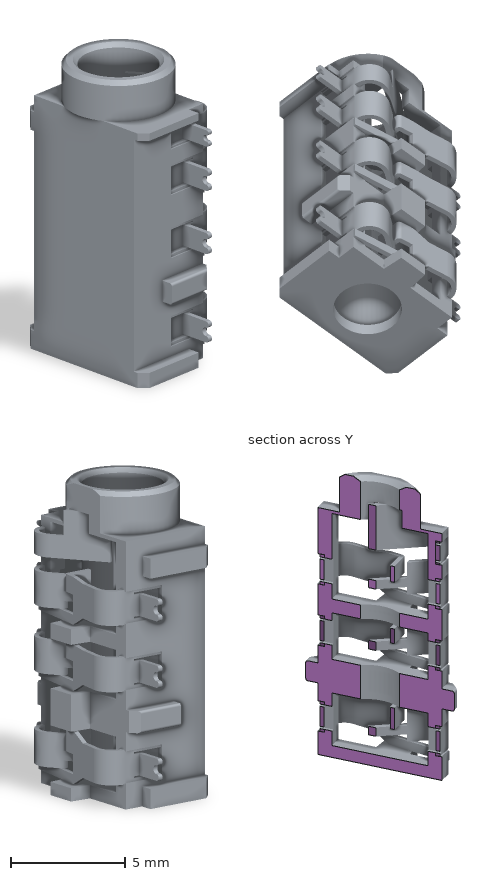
import cadquery as cq
import math

BODY_HALF_X = 3.0
BODY_HALF_Y = 2.2
BODY_HEIGHT = 12.1
TOTAL_HEIGHT = 14.0
COLLAR_RADIUS = 2.5
COLLAR_CHAMFER = 0.2
BORE_RADIUS = 1.8
EXIT_RADIUS = 1.5
BORE_FLOOR_Z = 0.6

FLANGE_REACH = 0.6
FLANGE_HALF_X = BODY_HALF_X + FLANGE_REACH
FLANGE_CHAMFER = 0.38
FLANGE_BACK_Y = 1.3
LEFT_FLANGES = [(0.0, 0.9), (10.4, 11.3)]
RIGHT_FLANGES = [(0.0, 0.72), (11.75, BODY_HEIGHT)]
RIB_FRONT_Y = -0.4
RIB_BOTTOM_Z = 3.5
RIB_TOP_Z = 4.5
RIB_FILLET = 0.12

POST_Z_RANGES = [(0.0, BORE_FLOOR_Z), (3.15, 4.82), (7.07, 7.77)]
POST_REACH_Y = 3.2
POST_BASE_X = (-0.48, 1.14)
POST_TIP_X = (-0.4, 1.05)
COLLAR_SLOT_TOP_Z = 12.8
CAVITY_HALF_X = 2.3
CAVITY_TOP_Z = 11.93

SHEET = 0.22
PLATE_OUTER_X = 2.92
PLATE_INNER_X = PLATE_OUTER_X - SHEET
PLATE_BOTTOM_Y = 0.17
ROW_Z = [1.9, 6.1, 9.1]
TOP_ROW_Z = 11.1
PLATE_WIDTH = 1.45
TOP_PLATE_WIDTH = 1.1
TAB_WIDTH = 1.0
TOP_TAB_WIDTH = 0.77
TAB_GAP = 0.09
TAB_END_X = 4.3
TAB_BACK_Y = 1.4
TAB_FRONT_Y = TAB_BACK_Y - SHEET
RELIEF_BACK_Y = 1.67
NOTCH_INSET = 0.16
NOTCH_CENTER_X = TAB_END_X - NOTCH_INSET
NOTCH_WIDTH_RATIO = 0.4
PRONG_FILLET_RATIO = 0.14

ARM_WIDTH = 1.56
TOP_ARM_WIDTH = 1.02
ARCH_RADIUS = 0.9
ARCH_CENTER_X = PLATE_OUTER_X - ARCH_RADIUS
LONG_ARM_ANGLE = 9.0
DIVING_ARM_ANGLE = 34.0
FLARE_START_X = -0.9
FLARE_END_X = -0.05
FLARE_BELOW = 1.25
FLARE_ABOVE = [1.17, 0.84, 0.9]
LEG_OUTER_X = 0.71
LEG_INNER_X = LEG_OUTER_X - SHEET
LEG_TIP_Y = 1.37
LEG_BEND_FILLET = 0.2
LEG_ABOVE_ROW = 0.1
BAND_WIDTH = 0.45
BAND_END_X = BODY_HALF_X
DIVING_ARM_TIP_X = -0.845
DIVING_ARM_STEP_X = 0.95
FINGER_BELOW = 0.42
FINGER_ABOVE = 0.02
TOP_FLARE_Z = 12.78


def block(x_range, y_range, z_range):
    """Box between two limits on each axis."""
    sizes = [high - low for low, high in (x_range, y_range, z_range)]
    corner = (x_range[0], y_range[0], z_range[0])
    return cq.Workplane("XY").box(*sizes, centered=False).translate(corner)


def centered_range(center, width):
    return (center - width / 2, center + width / 2)


def mirrored(shape):
    """Copy a left-hand shape to the right-hand side."""
    return shape.mirror("YZ")


def collar():
    round_part = (
        cq.Workplane("XY")
        .workplane(offset=BODY_HEIGHT)
        .circle(COLLAR_RADIUS)
        .extrude(TOTAL_HEIGHT - BODY_HEIGHT)
        .faces(">Z")
        .chamfer(COLLAR_CHAMFER)
    )
    span = (-COLLAR_RADIUS, COLLAR_RADIUS)
    return round_part.intersect(block(span, (-COLLAR_RADIUS, BODY_HALF_Y), (0, TOTAL_HEIGHT)))


def bore():
    stepped = (
        cq.Workplane("XY")
        .workplane(offset=BORE_FLOOR_Z)
        .circle(BORE_RADIUS)
        .extrude(TOTAL_HEIGHT - BORE_FLOOR_Z)
        .union(cq.Workplane("XY").circle(EXIT_RADIUS).extrude(BORE_FLOOR_Z))
    )
    lead_in = (
        cq.Workplane("XY")
        .workplane(offset=TOTAL_HEIGHT - COLLAR_CHAMFER)
        .circle(BORE_RADIUS)
        .workplane(offset=COLLAR_CHAMFER)
        .circle(BORE_RADIUS + COLLAR_CHAMFER)
        .loft()
    )
    return stepped.union(lead_in)


def left_flange(z_range):
    return (
        block((-FLANGE_HALF_X, -BODY_HALF_X), (-BODY_HALF_Y, FLANGE_BACK_Y), z_range)
        .edges("|Z and <X and <Y")
        .chamfer(FLANGE_CHAMFER)
    )


def left_rib():
    blank = block(
        (-FLANGE_HALF_X, -BODY_HALF_X), (RIB_FRONT_Y, BODY_HALF_Y), (RIB_BOTTOM_Z, RIB_TOP_Z)
    )
    rounded = blank.edges("|Y and <X").fillet(RIB_FILLET)
    beveled = blank.edges("|Z and <X and >Y").chamfer(FLANGE_CHAMFER)
    return rounded.intersect(beveled)


def post(z_range):
    bottom, top = z_range
    return (
        cq.Workplane("XY")
        .workplane(offset=bottom)
        .moveTo(POST_BASE_X[0], BODY_HALF_Y)
        .lineTo(POST_BASE_X[1], BODY_HALF_Y)
        .lineTo(POST_TIP_X[1], POST_REACH_Y)
        .lineTo(POST_TIP_X[0], POST_REACH_Y)
        .close()
        .extrude(top - bottom)
    )


def back_openings():
    """Wide shallow cavities open to the back between the posts; the last has a slot up into the collar."""
    lows = [top for _, top in POST_Z_RANGES]
    highs = [bottom for bottom, _ in POST_Z_RANGES[1:]] + [CAVITY_TOP_Z]
    cavity_x = (-CAVITY_HALF_X, CAVITY_HALF_X)
    cavities = [block(cavity_x, (TAB_BACK_Y, BODY_HALF_Y), z_range) for z_range in zip(lows, highs)]
    collar_slot = block(POST_TIP_X, (0, BODY_HALF_Y), (lows[-1], COLLAR_SLOT_TOP_Z))
    return cavities + [collar_slot]


def left_slot(row_z, width):
    """Recess in the side wall that holds a terminal plate."""
    return block(
        (-BODY_HALF_X, -PLATE_INNER_X), (PLATE_BOTTOM_Y, BODY_HALF_Y), centered_range(row_z, width)
    )


def cross_channel(row_z):
    """Passage through the housing behind the tab reliefs of one row."""
    return block(
        (-PLATE_INNER_X, PLATE_INNER_X),
        (TAB_BACK_Y, RELIEF_BACK_Y),
        centered_range(row_z, TAB_WIDTH + 2 * TAB_GAP),
    )


def make_housing():
    body = block((-BODY_HALF_X, BODY_HALF_X), (-BODY_HALF_Y, BODY_HALF_Y), (0, BODY_HEIGHT))
    body = body.union(collar())
    body = body.union(left_rib()).union(mirrored(left_rib()))
    for z_range in LEFT_FLANGES:
        body = body.union(left_flange(z_range))
    for z_range in RIGHT_FLANGES:
        body = body.union(mirrored(left_flange(z_range)))
    for z_range in POST_Z_RANGES:
        body = body.union(post(z_range))
    body = body.cut(bore())
    for opening in back_openings():
        body = body.cut(opening)
    for row_z in ROW_Z:
        slot = left_slot(row_z, PLATE_WIDTH)
        body = body.cut(slot).cut(mirrored(slot)).cut(cross_channel(row_z))
    return body.cut(mirrored(left_slot(TOP_ROW_Z, TOP_PLATE_WIDTH)))


def left_plate(row_z, plate_width, tab_width):
    """Wall plate with a forked solder tab bent outward from a window in it."""
    plate = block(
        (-PLATE_OUTER_X, -PLATE_INNER_X), (PLATE_BOTTOM_Y, BODY_HALF_Y), centered_range(row_z, plate_width)
    )
    opening = block(
        (-PLATE_OUTER_X, -PLATE_INNER_X),
        (PLATE_BOTTOM_Y, RELIEF_BACK_Y),
        centered_range(row_z, tab_width + 2 * TAB_GAP),
    )
    hinge = block(
        (-PLATE_OUTER_X, -PLATE_INNER_X), (TAB_FRONT_Y, RELIEF_BACK_Y), centered_range(row_z, tab_width)
    )
    tab = block((-TAB_END_X, -PLATE_INNER_X), (TAB_FRONT_Y, TAB_BACK_Y), centered_range(row_z, tab_width))
    notch_width = NOTCH_WIDTH_RATIO * tab_width
    notch_end = (
        cq.Workplane("XZ", origin=(-NOTCH_CENTER_X, TAB_BACK_Y, row_z)).circle(notch_width / 2).extrude(SHEET)
    )
    notch_mouth = block(
        (-TAB_END_X, -NOTCH_CENTER_X), (TAB_FRONT_Y, TAB_BACK_Y), centered_range(row_z, notch_width)
    )
    tab = tab.cut(notch_end.union(notch_mouth))
    tab = tab.edges("|Y and <X").fillet(PRONG_FILLET_RATIO * tab_width)
    return plate.cut(opening).union(hinge).union(tab)


def arch_point(radius, angle):
    """Point on the left arch; the angle is measured from the +Y direction toward +X."""
    turn = math.radians(angle)
    return (-ARCH_CENTER_X + radius * math.sin(turn), BODY_HALF_Y + radius * math.cos(turn))


def on_slope(start, angle, x):
    """Point at x on a line that leaves start and falls toward +X at the given angle."""
    return (x, start[1] - (x - start[0]) * math.tan(math.radians(angle)))


def silhouette(points):
    """Prism through the arm along Y, from an outline in X and Z."""
    return cq.Workplane("XZ").polyline(points).close().extrude(-2 * POST_REACH_Y)


def left_arch(bottom_z, height, angle, tip):
    """Strip that arches off the left plate and runs straight down to the outer corner of its tip."""
    inner_radius = ARCH_RADIUS - SHEET
    arch_middle = (angle - 90) / 2
    turn = math.radians(angle)
    inner_tip = (tip[0] - SHEET * math.sin(turn), tip[1] - SHEET * math.cos(turn))
    return (
        cq.Workplane("XY")
        .workplane(offset=bottom_z)
        .moveTo(-PLATE_OUTER_X, BODY_HALF_Y)
        .threePointArc(arch_point(ARCH_RADIUS, arch_middle), arch_point(ARCH_RADIUS, angle))
        .lineTo(*tip)
        .lineTo(*inner_tip)
        .lineTo(*arch_point(inner_radius, angle))
        .threePointArc(arch_point(inner_radius, arch_middle), (-PLATE_INNER_X, BODY_HALF_Y))
        .close()
        .extrude(height)
    )


def long_arm(row_z, flare_above):
    """Arched spring that flares out, with a narrow band running on across the back face."""
    low = row_z - FLARE_BELOW
    high = row_z + flare_above
    half = ARM_WIDTH / 2
    tip = on_slope(arch_point(ARCH_RADIUS, LONG_ARM_ANGLE), LONG_ARM_ANGLE, BAND_END_X)
    strip = left_arch(low, high - low, LONG_ARM_ANGLE, tip)
    shape = silhouette([
        (-PLATE_OUTER_X, row_z - half),
        (FLARE_START_X, row_z - half),
        (FLARE_END_X, low),
        (BAND_END_X, low),
        (BAND_END_X, low + BAND_WIDTH),
        (FLARE_END_X, low + BAND_WIDTH),
        (FLARE_END_X, high),
        (FLARE_START_X, row_z + half),
        (-PLATE_OUTER_X, row_z + half),
    ])
    behind_body = block((-PLATE_OUTER_X, BAND_END_X), (BODY_HALF_Y, POST_REACH_Y), (low, high))
    return strip.intersect(shape).intersect(behind_body)


def contact_leg(row_z, flare_above):
    """Tongue that continues the long arm and bends down into the bore."""
    outer_start = on_slope(arch_point(ARCH_RADIUS, LONG_ARM_ANGLE), LONG_ARM_ANGLE, FLARE_END_X)
    inner_start = on_slope(arch_point(ARCH_RADIUS - SHEET, LONG_ARM_ANGLE), LONG_ARM_ANGLE, FLARE_END_X)
    bend_corner = on_slope(outer_start, LONG_ARM_ANGLE, LEG_OUTER_X)
    return (
        cq.Workplane("XY")
        .workplane(offset=row_z + LEG_ABOVE_ROW)
        .moveTo(*outer_start)
        .lineTo(*bend_corner)
        .lineTo(LEG_OUTER_X, LEG_TIP_Y)
        .lineTo(LEG_INNER_X, LEG_TIP_Y)
        .lineTo(*on_slope(inner_start, LONG_ARM_ANGLE, LEG_INNER_X))
        .lineTo(*inner_start)
        .close()
        .extrude(flare_above - LEG_ABOVE_ROW)
        .edges(cq.NearestToPointSelector((*bend_corner, row_z + (LEG_ABOVE_ROW + flare_above) / 2)))
        .fillet(LEG_BEND_FILLET)
    )


def diving_arm(row_z, width, finger_z):
    """Arched right-hand spring that dives into the bore, its free end stepped to the finger height."""
    root_z = centered_range(row_z, width)
    low = min(root_z[0], finger_z[0])
    high = max(root_z[1], finger_z[1])
    tip_x = -DIVING_ARM_TIP_X
    step_x = -DIVING_ARM_STEP_X
    tip = on_slope(arch_point(ARCH_RADIUS, DIVING_ARM_ANGLE), DIVING_ARM_ANGLE, tip_x)
    strip = left_arch(low, high - low, DIVING_ARM_ANGLE, tip)
    all_y = (0, POST_REACH_Y)
    root = block((-PLATE_OUTER_X, step_x), all_y, root_z)
    finger = block((step_x, tip_x), all_y, finger_z)
    return mirrored(strip.intersect(root.union(finger)))


def make_spring_terminal(row_z, flare_above):
    plate = left_plate(row_z, PLATE_WIDTH, TAB_WIDTH)
    return plate.union(long_arm(row_z, flare_above)).union(contact_leg(row_z, flare_above))


def make_finger_terminal(row_z):
    plate = mirrored(left_plate(row_z, PLATE_WIDTH, TAB_WIDTH))
    finger_z = (row_z - FINGER_BELOW, row_z + FINGER_ABOVE)
    return plate.union(diving_arm(row_z, ARM_WIDTH, finger_z))


def make_top_terminal():
    plate = mirrored(left_plate(TOP_ROW_Z, TOP_PLATE_WIDTH, TOP_TAB_WIDTH))
    finger_z = (TOP_ROW_Z - TOP_ARM_WIDTH / 2, TOP_FLARE_Z)
    return plate.union(diving_arm(TOP_ROW_Z, TOP_ARM_WIDTH, finger_z))


housing = make_housing()
spring_terminals = [make_spring_terminal(z, above) for z, above in zip(ROW_Z, FLARE_ABOVE)]
finger_terminals = [make_finger_terminal(z) for z in ROW_Z]
top_terminal = make_top_terminal()

result = cq.Compound.makeCompound([
    housing.solids().val(),
    *[terminal.solids().val() for terminal in spring_terminals],
    *[terminal.solids().val() for terminal in finger_terminals],
    top_terminal.solids().val(),
])